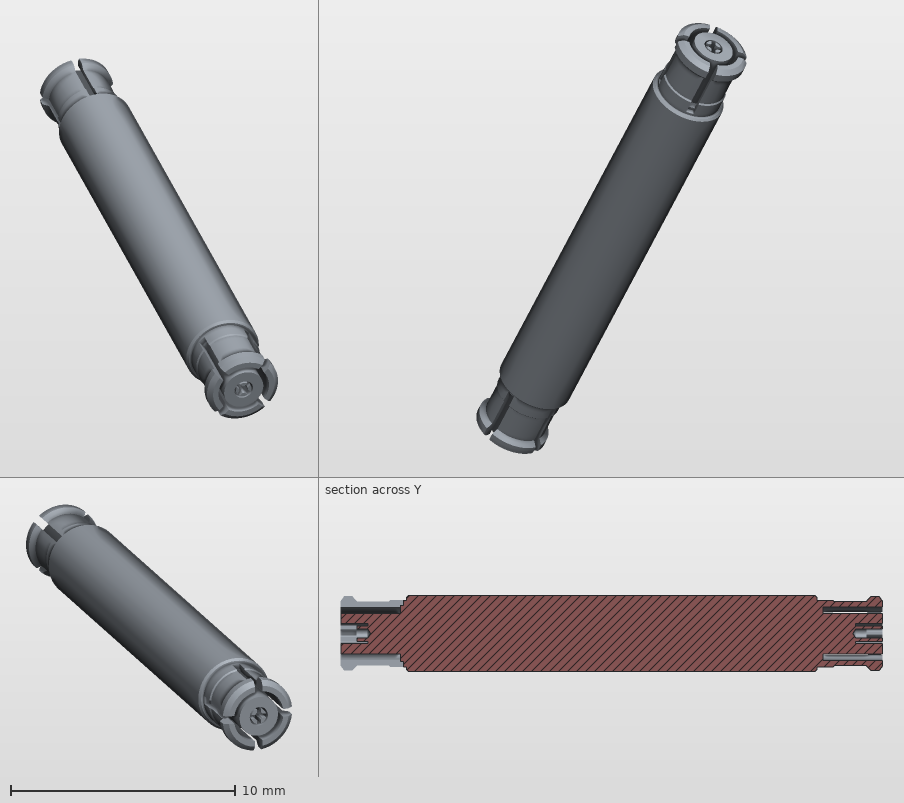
import cadquery as cq
import math

length = 24.2
body_radius = 3.4 / 2
body_chamfer = 0.1

shoulder_depth = 2.93
collar_radius = 1.5
collar_start = 2.23
finger_radius = 2.88 / 2
lip_radius = 1.67
lip_flat_start = 0.17
lip_flat_end = 0.53
lip_end = 0.75
bore_radius = 1.19
bore_depth = 2.65

slot_count = 4
slot_width = 0.36
slot_depth = 2.8
slot_floor_radius = 1.25

insulator_radius = 0.92
pin_hole_radius = 0.44
pin_radius = 0.36
pin_bore_radius = 0.2
pin_slot_width = 0.2
socket_depth = 1.2
pin_slot_depth = 0.73
drill_angle = 118.0


def revolve_about_axis(points):
    """Turn (distance along X, radius) points about the X axis."""
    return cq.Workplane("XY").polyline(points).close().revolve(360, (0, 0, 0), (1, 0, 0))


def ring(inner_radius, outer_radius, depth):
    """Ring about the X axis that starts at the X = 0 end face."""
    return cq.Workplane("YZ").circle(outer_radius).circle(inner_radius).extrude(depth)


def outer_body():
    """Solid turned shape, symmetric end to end, from X = 0 to X = length."""
    step_height = collar_radius - finger_radius
    end_profile = [
        (0, finger_radius),
        (lip_flat_start, lip_radius),
        (lip_flat_end, lip_radius),
        (lip_end, finger_radius),
        (collar_start - step_height, finger_radius),
        (collar_start, collar_radius),
        (shoulder_depth, collar_radius),
        (shoulder_depth, body_radius - body_chamfer),
        (shoulder_depth + body_chamfer, body_radius),
    ]
    far_profile = [(length - x, radius) for x, radius in reversed(end_profile)]
    return revolve_about_axis([(0, 0)] + end_profile + far_profile + [(length, 0)])


def radial_block(depth, floor_radius):
    """Slot-wide block standing on a flat floor and reaching past the body surface."""
    height = body_radius - floor_radius
    block = cq.Workplane("XY").box(depth, slot_width, height, centered=(False, True, False))
    return block.translate((0, 0, floor_radius))


def finger_slot():
    """Slot open to the bore, running on as a shallow notch beyond the bore floor."""
    gap_middle_radius = (insulator_radius + bore_radius) / 2
    return radial_block(bore_depth, gap_middle_radius).union(radial_block(slot_depth, slot_floor_radius))


def contact_socket():
    """Drilled bore and cross slots in the pin, with a clearance ring around the pin."""
    point_length = pin_bore_radius / math.tan(math.radians(drill_angle / 2))
    socket = revolve_about_axis([
        (0, 0),
        (0, pin_bore_radius),
        (socket_depth, pin_bore_radius),
        (socket_depth + point_length, 0),
    ])
    socket = socket.union(ring(pin_radius, pin_hole_radius, socket_depth))
    cross_length = pin_radius + pin_hole_radius
    for size_y, size_z in ((cross_length, pin_slot_width), (pin_slot_width, cross_length)):
        socket = socket.union(
            cq.Workplane("XY").box(pin_slot_depth, size_y, size_z, centered=(False, True, True))
        )
    return socket


def connector_mouth():
    """Everything removed from one end: annular bore, finger slots and contact socket."""
    mouth = ring(insulator_radius, bore_radius, bore_depth)
    for index in range(slot_count):
        mouth = mouth.union(finger_slot().rotate((0, 0, 0), (1, 0, 0), index * 360 / slot_count))
    return mouth.union(contact_socket())


near_mouth = connector_mouth()

far_mouth = near_mouth.mirror("YZ").translate((length, 0, 0))
far_mouth = far_mouth.rotate((0, 0, 0), (1, 0, 0), 180 / slot_count)

result = outer_body().cut(near_mouth).cut(far_mouth).translate((-length / 2, 0, 0))